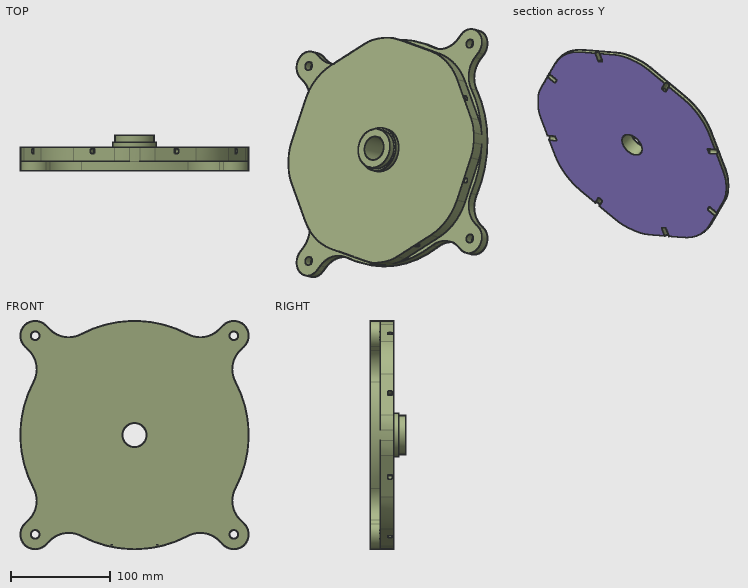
import math

import cadquery as cq

disc_radius = 115.0
flange_thickness = 10.0
ring_thickness = 14.0
collar_radius = 22.0
collar_height = 5.0
hub_radius = 19.75
hub_height = 7.0
bore_diameter = 24.0

ear_offset = 100.0
ear_radius = disc_radius - ear_offset
ear_hole_diameter = 8.5
ear_fillet_radius = 27.0

flat_distance = 110.8
flat_angle = 22.5
axis_corner_radius = 45.0
radial_hole_diameter = 5.0
radial_hole_depth = 10.0
radial_hole_height = 20.0
hole_overshoot = 1.0

ring_top = flange_thickness + ring_thickness
total_height = ring_top + collar_height + hub_height
quarter_turns = (0, 90, 180, 270)


def polar(radius, angle):
    """Point at a radius and an angle in degrees from the local X axis."""
    return (radius * math.cos(math.radians(angle)), radius * math.sin(math.radians(angle)))


def plan(height=0.0):
    """Workplane parallel to the flange face, local axes X and Z, normal toward +Y."""
    return cq.Workplane(cq.Plane(origin=(0, height, 0), xDir=(1, 0, 0), normal=(0, 1, 0)))


def disc(radius, height, start=0.0):
    return plan(start).circle(radius).extrude(height)


def ear():
    """Ear on the local X axis, blended into the disc by two concave arcs."""
    ear_distance = math.hypot(ear_offset, ear_offset)
    blend_y = ear_radius + ear_fillet_radius
    blend_distance = disc_radius + ear_fillet_radius
    blend_x = math.sqrt(blend_distance ** 2 - blend_y ** 2)
    blend_angle = math.degrees(math.atan2(blend_y, blend_x))
    root_x, root_y = polar(disc_radius, blend_angle)
    disc_side = 180 + blend_angle
    ear_side = 270
    mid_dx, mid_dy = polar(ear_fillet_radius, (disc_side + ear_side) / 2)
    mid_x = blend_x + mid_dx
    mid_y = blend_y + mid_dy
    outline = (
        plan()
        .moveTo(0, 0)
        .lineTo(root_x, -root_y)
        .threePointArc((mid_x, -mid_y), (blend_x, -ear_radius))
        .lineTo(ear_distance, -ear_radius)
        .threePointArc((ear_distance + ear_radius, 0), (ear_distance, ear_radius))
        .lineTo(blend_x, ear_radius)
        .threePointArc((mid_x, mid_y), (root_x, root_y))
        .close()
    )
    hole = plan().center(ear_distance, 0).circle(ear_hole_diameter / 2).extrude(flange_thickness)
    return outline.extrude(flange_thickness).cut(hole)


def flange():
    body = disc(disc_radius, flange_thickness)
    for turn in quarter_turns:
        body = body.union(ear().rotate((0, 0, 0), (0, 1, 0), 45 + turn))
    return body


def axis_corner():
    """Rounding between the cylindrical land on the local X axis and the next flat.

    The arc is tangent to both. Returns its start, middle and end as (radius, angle).
    """
    center_radius = disc_radius - axis_corner_radius
    sweep = math.degrees(math.acos((flat_distance - axis_corner_radius) / center_radius))
    land_angle = flat_angle - sweep
    center_x, center_y = polar(center_radius, land_angle)
    points = []
    for direction in (land_angle, land_angle + sweep / 2, flat_angle):
        dx, dy = polar(axis_corner_radius, direction)
        x = center_x + dx
        y = center_y + dy
        points.append((math.hypot(x, y), math.degrees(math.atan2(y, x))))
    return points


def flat_end():
    """End of the flat next to the diagonal, as (radius, angle).

    The rounding on the diagonal is tangent to both flats and to the disc radius.
    """
    turn = math.radians(45 - flat_angle)
    corner_distance = flat_distance / math.cos(turn)
    edge_setback = (corner_distance - disc_radius) * math.sin(turn) / (1 - math.cos(turn))
    half_flat = flat_distance * math.tan(turn) - edge_setback
    radius = math.hypot(flat_distance, half_flat)
    return radius, flat_angle + math.degrees(math.atan2(half_flat, flat_distance))


def rim_ring():
    """Disc with eight flats, lands on the axes and rounded corners between the flats."""
    (_, land_angle), (mid_radius, mid_angle), (start_radius, start_angle) = axis_corner()
    end_radius, end_angle = flat_end()
    outline = plan().moveTo(*polar(disc_radius, -land_angle))
    for turn in quarter_turns:
        diagonal = turn + 45
        next_turn = turn + 90
        land_end = polar(disc_radius, turn + land_angle)
        first_flat_start = polar(start_radius, turn + start_angle)
        first_flat_end = polar(end_radius, turn + end_angle)
        second_flat_start = polar(end_radius, next_turn - end_angle)
        second_flat_end = polar(start_radius, next_turn - start_angle)
        next_land_start = polar(disc_radius, next_turn - land_angle)
        outline = (
            outline
            .threePointArc(polar(disc_radius, turn), land_end)
            .threePointArc(polar(mid_radius, turn + mid_angle), first_flat_start)
            .lineTo(*first_flat_end)
            .threePointArc(polar(disc_radius, diagonal), second_flat_start)
            .lineTo(*second_flat_end)
            .threePointArc(polar(mid_radius, next_turn - mid_angle), next_land_start)
        )
    return outline.close().extrude(ring_thickness).translate((0, flange_thickness, 0))


def radial_holes():
    hole = (
        cq.Workplane("YZ", origin=(flat_distance - radial_hole_depth, radial_hole_height, 0))
        .circle(radial_hole_diameter / 2)
        .extrude(radial_hole_depth + hole_overshoot)
    )
    tools = cq.Workplane()
    for turn in quarter_turns:
        for angle in (turn + flat_angle, turn - flat_angle):
            tools = tools.add(hole.rotate((0, 0, 0), (0, 1, 0), angle))
    return tools.combine()


result = (
    flange()
    .union(rim_ring())
    .union(disc(collar_radius, collar_height, ring_top))
    .union(disc(hub_radius, hub_height, ring_top + collar_height))
    .cut(radial_holes())
    .cut(disc(bore_diameter / 2, total_height))
    .clean()
)